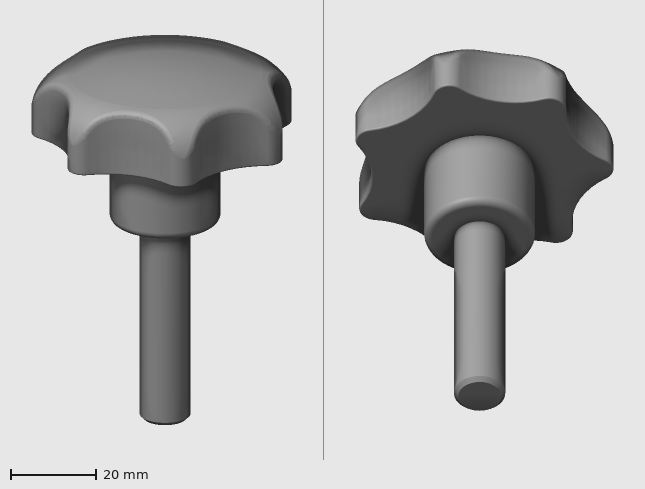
import cadquery as cq
import math


total_height = 90.0
lobe_count = 7

head_radius = 31.5
head_bottom_z = -19.1
lobe_tip_radius = 4.0
scallop_depth_radius = 25.5
dome_edge_radius = 23.0
dome_height = 2.5
blank_clearance = 0.1
star_edge_fillet = 1.8
head_bottom_fillet = 0.45

hub_radius = 13.05
hub_bottom_z = -40.0
hub_fillet = 1.8

stud_radius = 6.0
stud_chamfer = 1.0

lobe_pitch = 2 * math.pi / lobe_count
first_lobe_angle = math.pi


def polar(radius, angle):
    return (radius * math.cos(angle), radius * math.sin(angle))


def star_outline():
    """Rounded lobe tips joined by tangent concave scallops."""
    tip_centre = head_radius - lobe_tip_radius
    half_pitch = lobe_pitch / 2
    offset = scallop_depth_radius - lobe_tip_radius
    scallop_centre = (tip_centre**2 - offset**2) / (2 * (tip_centre * math.cos(half_pitch) - offset))
    tangent_x = scallop_centre * math.cos(half_pitch) - tip_centre
    tangent_y = scallop_centre * math.sin(half_pitch)
    tangent_angle = math.atan2(tangent_y, tangent_x)
    join_x = tip_centre + lobe_tip_radius * math.cos(tangent_angle)
    join_y = lobe_tip_radius * math.sin(tangent_angle)
    join_radius = math.hypot(join_x, join_y)
    join_angle = math.atan2(join_y, join_x)

    outline = cq.Workplane("XY").moveTo(*polar(join_radius, first_lobe_angle - join_angle))
    for index in range(lobe_count):
        lobe = first_lobe_angle + index * lobe_pitch
        outline = outline.threePointArc(polar(head_radius, lobe), polar(join_radius, lobe + join_angle))
        outline = outline.threePointArc(
            polar(scallop_depth_radius, lobe + half_pitch),
            polar(join_radius, lobe + lobe_pitch - join_angle),
        )
    return outline.close()


def domed_blank():
    """Round blank with a shallow spherical top and a rim arc tangent to it and to the side."""
    sphere_radius = (dome_edge_radius**2 + dome_height**2) / (2 * dome_height)
    edge_slope = math.asin(dome_edge_radius / sphere_radius)
    blank_radius = head_radius + blank_clearance
    rim_radius = (blank_radius - dome_edge_radius) / (1 - math.sin(edge_slope))
    rim_centre_x = blank_radius - rim_radius
    rim_centre_z = -dome_height - rim_radius * math.cos(edge_slope)
    rim_middle_angle = (math.pi / 2 - edge_slope) / 2
    dome_middle_slope = edge_slope / 2
    dome_middle = (
        sphere_radius * math.sin(dome_middle_slope),
        sphere_radius * (math.cos(dome_middle_slope) - 1),
    )
    rim_middle = (
        rim_centre_x + rim_radius * math.cos(rim_middle_angle),
        rim_centre_z + rim_radius * math.sin(rim_middle_angle),
    )
    return (
        cq.Workplane("XZ")
        .moveTo(0, head_bottom_z)
        .lineTo(0, 0)
        .threePointArc(dome_middle, (dome_edge_radius, -dome_height))
        .threePointArc(rim_middle, (blank_radius, rim_centre_z))
        .lineTo(blank_radius, head_bottom_z)
        .close()
        .revolve(360, (0, 0, 0), (0, 1, 0))
        .rotate((0, 0, 0), (0, 0, 1), math.degrees(first_lobe_angle))
    )


def is_star_top_edge(edge):
    """True for edges below the dome that lie wholly above the flat underside."""
    box = edge.BoundingBox()
    edge_margin = 0.1
    return box.zmax < -dome_height - edge_margin and box.zmin > head_bottom_z + edge_margin


def make_head():
    star = star_outline().extrude(head_bottom_z)
    head = domed_blank().intersect(star)
    star_top_edges = [edge for edge in head.edges().vals() if is_star_top_edge(edge)]
    head = head.newObject(star_top_edges).fillet(star_edge_fillet)
    return head.faces("<Z").edges().fillet(head_bottom_fillet)


def make_hub():
    hub_length = head_bottom_z - hub_bottom_z
    hub = cq.Workplane("XY").workplane(offset=head_bottom_z).circle(hub_radius).extrude(-hub_length)
    return hub.faces("<Z").edges().fillet(hub_fillet)


def make_stud():
    stud_length = total_height + hub_bottom_z
    stud = cq.Workplane("XY").workplane(offset=hub_bottom_z).circle(stud_radius).extrude(-stud_length)
    return stud.faces("<Z").edges().chamfer(stud_chamfer)


knob = make_head().union(make_hub())
stud = make_stud()

result = cq.Compound.makeCompound([knob.val(), stud.val()])